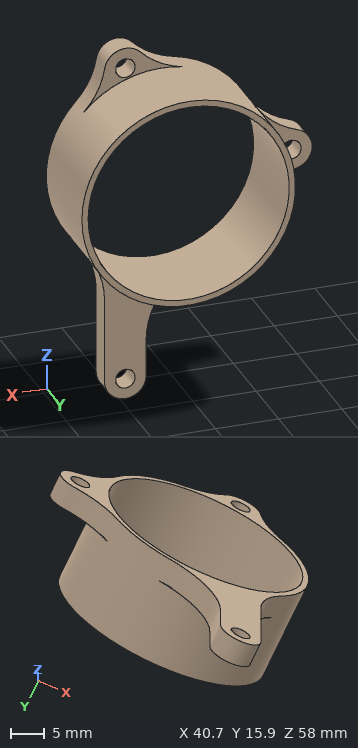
import cadquery as cq
import math

bore_diameter = 31.75
ring_diameter = 33.78
ring_length = 15.88
flange_thickness = 3.81

hole_diameter = 3.05
lug_radius = 3.302
fillet_radius = 12.7

side_hole_distance = 20.54
offset_hole_x = 5.7
top_hole_z = 17.78
leg_hole_z = -33.63

ring_radius = ring_diameter / 2
top_hole = (offset_hole_x, top_hole_z)
side_hole = (-side_hole_distance, 0)
leg_hole = (offset_hole_x, leg_hole_z)
hole_centers = [top_hole, side_hole, leg_hole]

ring_center = (0, 0)
fillet_center_distance = ring_radius + fillet_radius


def point_toward(start, target, distance):
    """Point at the given distance from start, in the direction of target."""
    ratio = distance / math.dist(start, target)
    return (
        start[0] + ratio * (target[0] - start[0]),
        start[1] + ratio * (target[1] - start[1]),
    )


def arc_middle(center, radius, start, end):
    """Middle of the shorter arc between two points on a circle."""
    chord_middle = ((start[0] + end[0]) / 2, (start[1] + end[1]) / 2)
    return point_toward(center, chord_middle, radius)


def fillet_points(fillet_center, lug_end):
    """Ring end, middle and lug end of a concave fillet touching the ring."""
    ring_end = point_toward(ring_center, fillet_center, ring_radius)
    middle = arc_middle(fillet_center, fillet_radius, ring_end, lug_end)
    return ring_end, middle, lug_end


def lug_fillet(lug_center, side):
    """Fillet tangent to the ring and a round lug; side is -1 or +1 (counterclockwise)."""
    lug_distance = math.dist(ring_center, lug_center)
    lug_reach = lug_radius + fillet_radius
    cosine = (lug_distance**2 + fillet_center_distance**2 - lug_reach**2) / (
        2 * lug_distance * fillet_center_distance
    )
    angle = math.atan2(lug_center[1], lug_center[0]) + side * math.acos(cosine)
    fillet_center = (
        fillet_center_distance * math.cos(angle),
        fillet_center_distance * math.sin(angle),
    )
    lug_end = point_toward(lug_center, fillet_center, lug_radius)
    return fillet_points(fillet_center, lug_end)


def leg_fillet(side):
    """Fillet tangent to the ring and one straight leg edge; side is -1 (left) or +1 (right)."""
    edge_x = offset_hole_x + side * lug_radius
    center_x = edge_x + side * fillet_radius
    center_z = -math.sqrt(fillet_center_distance**2 - center_x**2)
    return fillet_points((center_x, center_z), (edge_x, center_z))


def add_round_lug(outline, lug_center):
    """Continue the outline counterclockwise around one lug, starting on the ring."""
    _, entry_middle, entry_lug = lug_fillet(lug_center, -1)
    exit_ring, exit_middle, exit_lug = lug_fillet(lug_center, 1)
    lug_tip = point_toward(lug_center, ring_center, -lug_radius)
    return (
        outline.threePointArc(entry_middle, entry_lug)
        .threePointArc(lug_tip, exit_lug)
        .threePointArc(exit_middle, exit_ring)
    )


def add_leg(outline):
    """Continue the outline counterclockwise around the long leg, starting on the ring."""
    _, left_middle, left_edge = leg_fillet(-1)
    right_ring, right_middle, right_edge = leg_fillet(1)
    leg_tip = (offset_hole_x, leg_hole_z - lug_radius)
    return (
        outline.threePointArc(left_middle, left_edge)
        .lineTo(offset_hole_x - lug_radius, leg_hole_z)
        .threePointArc(leg_tip, (offset_hole_x + lug_radius, leg_hole_z))
        .lineTo(*right_edge)
        .threePointArc(right_middle, right_ring)
    )


def add_ring_arc(outline, start, end):
    """Continue the outline along the ring between two neighbouring fillets."""
    return outline.threePointArc(arc_middle(ring_center, ring_radius, start, end), end)


def make_flange():
    """Flat plate around the ring with two round lugs and one long leg."""
    top_start = lug_fillet(top_hole, -1)[0]
    top_end = lug_fillet(top_hole, 1)[0]
    side_start = lug_fillet(side_hole, -1)[0]
    side_end = lug_fillet(side_hole, 1)[0]
    leg_start = leg_fillet(-1)[0]
    leg_end = leg_fillet(1)[0]

    outline = cq.Workplane("XZ").moveTo(*top_start)
    outline = add_round_lug(outline, top_hole)
    outline = add_ring_arc(outline, top_end, side_start)
    outline = add_round_lug(outline, side_hole)
    outline = add_ring_arc(outline, side_end, leg_start)
    outline = add_leg(outline)
    outline = add_ring_arc(outline, leg_end, top_start)
    return outline.close().extrude(-flange_thickness)


def make_cylinder(diameter, length, centers):
    """Cylinders running from the flange face in the +Y direction."""
    return cq.Workplane("XZ").pushPoints(centers).circle(diameter / 2).extrude(-length)


ring = make_cylinder(ring_diameter, ring_length, [ring_center])
bore = make_cylinder(bore_diameter, ring_length, [ring_center])
screw_holes = make_cylinder(hole_diameter, flange_thickness, hole_centers)

result = make_flange().union(ring).cut(bore).cut(screw_holes)